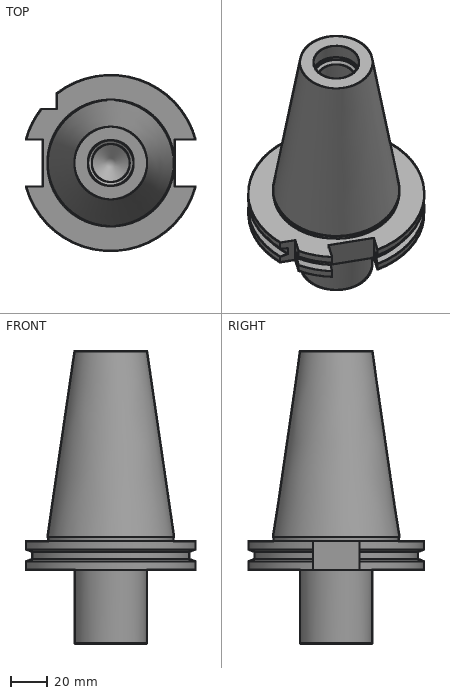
import cadquery as cq
import math

total_height = 161.6
taper_length = 101.6
flange_offset = 3.2
flange_thickness = 15.8
flange_top = total_height - taper_length - flange_offset
flange_bottom = flange_top - flange_thickness
gauge_plane = total_height - taper_length

shank_diameter = 40.0
shank_chamfer = 0.5
flange_diameter = 97.3
neck_diameter = 69.3
gauge_diameter = 69.8
taper_overrun = 1.0
taper_ratio = 7 / 24
tip_diameter = gauge_diameter - taper_ratio * taper_length

groove_diameter = 90.5
groove_floor_width = 4.0
groove_mouth_width = 6.8

slot_width = 25.7
left_slot_floor = 37.7
right_slot_floor = 35.4
notch_offset = 29.9

bore_diameter = 25.0
bore_depth = 9.4
relief_diameter = 25.5
relief_depth = 11.5
blind_diameter = 21.0
seat_depth = 12.8
blind_depth = 46.9
drill_tip_angle = 118.0
drill_tip_length = blind_diameter / 2 / math.tan(math.radians(drill_tip_angle / 2))


def turned_body():
    """Shank, grooved flange, neck and steep taper as one revolved profile."""
    flange_middle = flange_bottom + flange_thickness / 2
    shank_radius = shank_diameter / 2
    flange_radius = flange_diameter / 2
    groove_radius = groove_diameter / 2
    neck_radius = neck_diameter / 2
    base_radius = (gauge_diameter + taper_ratio * taper_overrun) / 2
    taper_base = gauge_plane - taper_overrun
    profile = [
        (0, 0),
        (shank_radius - shank_chamfer, 0),
        (shank_radius, shank_chamfer),
        (shank_radius, flange_bottom),
        (flange_radius, flange_bottom),
        (flange_radius, flange_middle - groove_mouth_width / 2),
        (groove_radius, flange_middle - groove_floor_width / 2),
        (groove_radius, flange_middle + groove_floor_width / 2),
        (flange_radius, flange_middle + groove_mouth_width / 2),
        (flange_radius, flange_top),
        (neck_radius, flange_top),
        (neck_radius, taper_base),
        (base_radius, taper_base),
        (tip_diameter / 2, total_height),
        (0, total_height),
    ]
    return cq.Workplane("XZ").polyline(profile).close().revolve(360, (0, 0), (0, 1))


def stepped_bore():
    """Bore with a relief and conical seat at its foot, above a blind hole with a drill point."""
    profile = [
        (0, total_height),
        (bore_diameter / 2, total_height),
        (bore_diameter / 2, total_height - bore_depth),
        (relief_diameter / 2, total_height - bore_depth),
        (relief_diameter / 2, total_height - relief_depth),
        (blind_diameter / 2, total_height - seat_depth),
        (blind_diameter / 2, total_height - blind_depth),
        (0, total_height - blind_depth - drill_tip_length),
    ]
    return cq.Workplane("XZ").polyline(profile).close().revolve(360, (0, 0), (0, 1))


def flange_cutter(x_min, x_max, y_min, y_max):
    """Block as tall as the flange, spanning the given X and Y limits."""
    return (
        cq.Workplane("XY", origin=(0, 0, flange_bottom))
        .moveTo(x_min, y_min)
        .lineTo(x_max, y_min)
        .lineTo(x_max, y_max)
        .lineTo(x_min, y_max)
        .close()
        .extrude(flange_thickness)
    )


cut_limit = flange_diameter
left_slot = flange_cutter(-cut_limit, -left_slot_floor, -slot_width / 2, slot_width / 2)
right_slot = flange_cutter(right_slot_floor, cut_limit, -slot_width / 2, slot_width / 2)
orientation_notch = flange_cutter(-cut_limit, -notch_offset, notch_offset, cut_limit)

result = (
    turned_body()
    .cut(stepped_bore())
    .cut(left_slot)
    .cut(right_slot)
    .cut(orientation_notch)
)